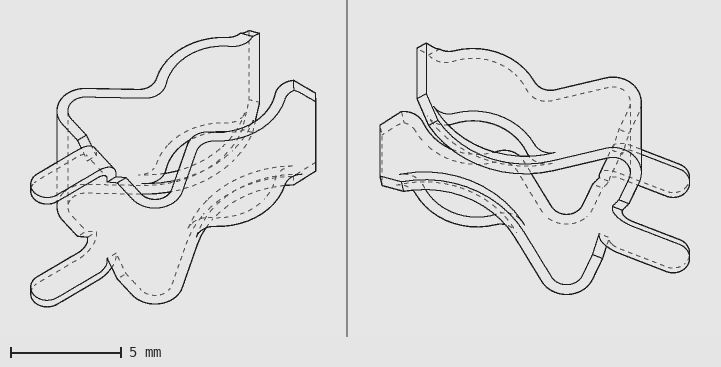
import cadquery as cq
import math


thickness = 0.5
strip_width = 7.12

overall_x = 7.84
corner_outer_radius = 1.28
corner_inner_radius = corner_outer_radius - thickness
corner_x = overall_x / 2 - corner_outer_radius
corner_y = corner_outer_radius

leg_lean = math.radians(38.0)
lip_flare = math.radians(35.0)
mouth_y = 10.67

bulge_outer_radius = 3.13
bulge_inner_radius = bulge_outer_radius - thickness
bulge_outer_reach = 2.9
bulge_x = bulge_outer_reach - bulge_outer_radius
neck_outer_radius = 0.81
neck_inner_radius = 0.97

stop_width = 0.78
stop_inner_radius = 5.12
stop_outer_radius = stop_inner_radius - thickness
stop_inner_reach = 0.61
stop_x = stop_inner_reach + stop_inner_radius

lip_chamfer = 1.0

tail_width = 1.5
tail_length = 3.56
tail_bend_inner_radius = 0.5
tail_bend_outer_radius = tail_bend_inner_radius + thickness
bend_z = strip_width / 2 - tail_bend_inner_radius
notch_width = 0.75
notch_depth = 0.73


def at_angle(center, radius, angle):
    """Point on a circle, with the angle measured from +X."""
    return (center[0] + radius * math.cos(angle), center[1] + radius * math.sin(angle))


def ray_meets_circle(start, direction, center, radius):
    """First point where a ray from start along a unit direction meets a circle."""
    to_start = (start[0] - center[0], start[1] - center[1])
    along = to_start[0] * direction[0] + to_start[1] * direction[1]
    gap = to_start[0] ** 2 + to_start[1] ** 2 - radius**2
    travel = -along - math.sqrt(along**2 - gap)
    return (start[0] + travel * direction[0], start[1] + travel * direction[1])


corner = (corner_x, corner_y)
leg_inner_offset = corner_x * math.cos(leg_lean) + corner_y * math.sin(leg_lean) + corner_inner_radius
arc_y = (leg_inner_offset + stop_inner_radius - stop_x * math.cos(leg_lean)) / math.sin(leg_lean)
bulge_center = (bulge_x, arc_y)
stop_center = (stop_x, arc_y)

leg_up = (-math.sin(leg_lean), math.cos(leg_lean))
lip_out = (math.sin(lip_flare), math.cos(lip_flare))
lip_down = (-lip_out[0], -lip_out[1])
lip_normal = (math.cos(lip_flare), -math.sin(lip_flare))

leg_start_outer = at_angle(corner, corner_outer_radius, leg_lean)
leg_start_inner = at_angle(corner, corner_inner_radius, leg_lean)

lip_start_inner = at_angle(stop_center, stop_inner_radius, math.pi - lip_flare)
lip_start_outer = at_angle(stop_center, stop_outer_radius, math.pi - lip_flare)
lip_length = (mouth_y - lip_start_inner[1]) / math.cos(lip_flare)
lip_tip_inner = (lip_start_inner[0] + lip_length * lip_out[0], mouth_y)
lip_tip_outer = (lip_tip_inner[0] + thickness * lip_normal[0], mouth_y + thickness * lip_normal[1])


def half_strip(leg_ends, lip_starts, arc_tops, bottom_z, top_z):
    """Right half of the bent strip; each pair gives the (outer, inner) face point."""
    half_turn = (leg_lean - math.pi / 2) / 2
    return (
        cq.Workplane("XY", origin=(0, 0, bottom_z))
        .moveTo(0, 0)
        .lineTo(corner_x, 0)
        .threePointArc(at_angle(corner, corner_outer_radius, half_turn), leg_start_outer)
        .lineTo(*leg_ends[0])
        .threePointArc(arc_tops[0], lip_starts[0])
        .lineTo(*lip_tip_outer)
        .lineTo(*lip_tip_inner)
        .lineTo(*lip_starts[1])
        .threePointArc(arc_tops[1], leg_ends[1])
        .lineTo(*leg_start_inner)
        .threePointArc(at_angle(corner, corner_inner_radius, half_turn), (corner_x, thickness))
        .lineTo(0, thickness)
        .close()
        .extrude(top_z - bottom_z)
    )


def bulged_half():
    """Strip above the stop: bulged outward, with rounded necks below and above the bulge."""
    bottom_z = -strip_width / 2 + stop_width
    top_z = strip_width / 2
    leg_ends = (
        ray_meets_circle(leg_start_outer, leg_up, bulge_center, bulge_outer_radius),
        ray_meets_circle(leg_start_inner, leg_up, bulge_center, bulge_inner_radius),
    )
    lip_starts = (
        ray_meets_circle(lip_tip_outer, lip_down, bulge_center, bulge_outer_radius),
        ray_meets_circle(lip_tip_inner, lip_down, bulge_center, bulge_inner_radius),
    )
    arc_tops = (
        at_angle(bulge_center, bulge_outer_radius, 0),
        at_angle(bulge_center, bulge_inner_radius, 0),
    )
    strip = half_strip(leg_ends, lip_starts, arc_tops, bottom_z, top_z)
    middle_z = (bottom_z + top_z) / 2
    for neck in (leg_ends, lip_starts):
        for (x, y), radius in zip(neck, (neck_outer_radius, neck_inner_radius)):
            neck_edge = cq.selectors.NearestToPointSelector((x, y, middle_z))
            strip = strip.edges("|Z").edges(neck_edge).fillet(radius)
    return strip


def stop_half():
    """Bottom band of the strip, bowed inward and tangent to the leg and the lip."""
    leg_ends = (
        at_angle(stop_center, stop_outer_radius, math.pi + leg_lean),
        at_angle(stop_center, stop_inner_radius, math.pi + leg_lean),
    )
    arc_tops = (
        at_angle(stop_center, stop_outer_radius, math.pi),
        at_angle(stop_center, stop_inner_radius, math.pi),
    )
    bottom_z = -strip_width / 2
    return half_strip(leg_ends, (lip_start_outer, lip_start_inner), arc_tops, bottom_z, bottom_z + stop_width)


def lip_corner_cutter():
    """Triangles that chamfer the two end corners of the lip and run through the neck behind it."""
    lip_plane = cq.Plane(
        origin=(lip_tip_inner[0], lip_tip_inner[1], 0),
        xDir=(lip_down[0], lip_down[1], 0),
        normal=(lip_normal[0], lip_normal[1], 0),
    )
    cutter = cq.Workplane(lip_plane)
    for side in (1, -1):
        edge = side * strip_width / 2
        corner_points = [(0, edge), (lip_chamfer, edge), (0, edge - side * lip_chamfer)]
        cutter = cutter.polyline(corner_points).close()
    return cutter.extrude(2 * thickness)


def base_notches():
    """Triangular reliefs beside the upper tail."""
    edge = strip_width / 2
    cutter = cq.Workplane("XZ")
    for side in (1, -1):
        root_x = side * tail_width / 2
        notch = [(root_x, edge), (root_x + side * notch_width, edge), (root_x, edge - notch_depth)]
        cutter = cutter.polyline(notch).close()
    return cutter.extrude(-thickness)


def tail_blank():
    """Block over the base that is removed where the upper tail bends away."""
    return (
        cq.Workplane("XY", origin=(0, 0, bend_z))
        .rect(tail_width, 2 * thickness)
        .extrude(tail_bend_inner_radius)
    )


def upper_tail():
    """Tail bent outward from the base, ending in a full round."""
    bend_y = -tail_bend_inner_radius
    bend = (bend_y, bend_z)
    top_z = bend_z + tail_bend_outer_radius
    profile = (
        cq.Workplane("YZ", origin=(-tail_width / 2, 0, 0))
        .moveTo(0, bend_z)
        .lineTo(thickness, bend_z)
        .threePointArc(at_angle(bend, tail_bend_outer_radius, math.pi / 4), (bend_y, top_z))
        .lineTo(-tail_length, top_z)
        .lineTo(-tail_length, top_z - thickness)
        .lineTo(bend_y, top_z - thickness)
        .threePointArc(at_angle(bend, tail_bend_inner_radius, math.pi / 4), (0, bend_z))
        .close()
        .extrude(tail_width)
    )
    end_radius = tail_width / 2
    outline = (
        cq.Workplane("XY", origin=(0, 0, bend_z))
        .moveTo(-end_radius, thickness)
        .lineTo(-end_radius, end_radius - tail_length)
        .threePointArc((0, -tail_length), (end_radius, end_radius - tail_length))
        .lineTo(end_radius, thickness)
        .close()
        .extrude(tail_bend_outer_radius)
    )
    return profile.intersect(outline)


right_half = bulged_half().union(stop_half()).cut(lip_corner_cutter())
clip = right_half.union(right_half.mirror("YZ"))

relief = base_notches().union(tail_blank())
tail = upper_tail()
clip = clip.cut(relief).cut(relief.mirror("XY"))
result = clip.union(tail).union(tail.mirror("XY"))